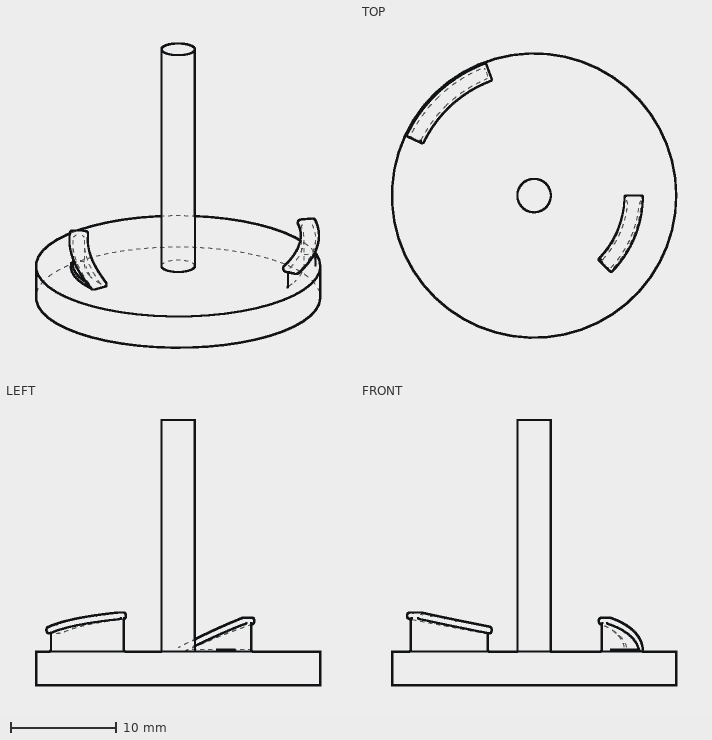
import cadquery as cq
import math

plate_diameter = 27.0
plate_thickness = 3.18
post_diameter = 3.18
post_height = 22.0

ramp_span = 45.0
cap_width = 1.75
cap_flat_width = 1.0
cap_thickness = 0.65
cap_end_fillet = 0.15
wall_width = 1.1
wall_corner_radius = 0.3
wall_low_setback = 0.25
foot_fillet = 0.2

section_count = 7

trim_overrun = 5.0
trim_margin = 0.25
trim_height = 6.0

outer_ramp = dict(radius=12.5, low_height=2.36, high_height=3.75, steepest_lead=15.0)
inner_ramp = dict(radius=9.45, low_height=0.4, high_height=3.28, steepest_lead=15.0)
outer_ramp_low_angle = 110.0


def polar(radius, angle):
    """Point at a radius and an angle in degrees about the post axis."""
    a = math.radians(angle)
    return (radius * math.cos(a), radius * math.sin(a))


def cap_middle_height(ramp, angle):
    """Height of the cap's mid-thickness at an angle past the low end of the ramp."""
    lead = ramp["steepest_lead"]
    low_sine = math.sin(math.radians(lead))
    high_sine = math.sin(math.radians(lead + ramp_span))
    fraction = (math.sin(math.radians(lead + angle)) - low_sine) / (high_sine - low_sine)
    top = ramp["low_height"] + (ramp["high_height"] - ramp["low_height"]) * fraction
    return plate_thickness + top - cap_thickness / 2


def section_plane(ramp, angle):
    """Upright radial workplane on the cap's centreline: local x points outward, local y upward."""
    x, y = polar(ramp["radius"], angle)
    outward = cq.Vector(x, y, 0)
    origin = (x, y, cap_middle_height(ramp, angle))
    return cq.Workplane(cq.Plane(origin=origin, xDir=outward, normal=outward.cross(cq.Vector(0, 0, 1))))


def loft_along(ramp, draw_section, overrun=0.0):
    """Smooth loft through equally spaced upright sections, reaching past both ends by overrun degrees."""
    step = (ramp_span + 2 * overrun) / (section_count - 1)
    sections = [
        draw_section(section_plane(ramp, index * step - overrun)).val() for index in range(section_count)
    ]
    return cq.Workplane(obj=cq.Solid.makeLoft(sections))


def cap_section(plane):
    """Flat top and bottom joined by bulging sides."""
    half_flat = cap_flat_width / 2
    half_width = cap_width / 2
    half_thickness = cap_thickness / 2
    return (
        plane.moveTo(-half_flat, -half_thickness)
        .lineTo(half_flat, -half_thickness)
        .threePointArc((half_width, 0), (half_flat, half_thickness))
        .lineTo(-half_flat, half_thickness)
        .threePointArc((-half_width, 0), (-half_flat, -half_thickness))
        .close()
    )


def trim_section(plane):
    """Tall rectangle standing on the middle of the cap."""
    return plane.center(0, trim_height / 2).rect(cap_width + 2 * trim_margin, trim_height)


def ramp_cap(ramp):
    """Cap with rounded ends."""
    return loft_along(ramp, cap_section).faces("%PLANE").edges().fillet(cap_end_fillet)


def wall_column(ramp):
    """Curved wall of constant height with rounded corners."""
    inner = ramp["radius"] - wall_width / 2
    outer = ramp["radius"] + wall_width / 2
    low = math.degrees(wall_low_setback / ramp["radius"])
    high = ramp_span
    middle = (low + high) / 2
    return (
        cq.Workplane("XY", origin=(0, 0, plate_thickness))
        .moveTo(*polar(inner, low))
        .threePointArc(polar(inner, middle), polar(inner, high))
        .lineTo(*polar(outer, high))
        .threePointArc(polar(outer, middle), polar(outer, low))
        .close()
        .extrude(ramp["high_height"])
        .edges("|Z")
        .fillet(wall_corner_radius)
    )


def ramp_wall(ramp, plate):
    """Wall with a filleted foot, cut off along the middle of its cap."""
    body = plate.union(wall_column(ramp))
    plate_top = body.faces(cq.selectors.NearestToPointSelector((0, 0, plate_thickness)))
    foot_edges = plate_top.val().innerWires()[0].Edges()
    wall = body.newObject(foot_edges).fillet(foot_fillet).cut(plate)
    return wall.cut(loft_along(ramp, trim_section, trim_overrun))


def curved_ramp(ramp, plate):
    """Complete ramp starting at angle 0 and climbing counterclockwise."""
    return ramp_wall(ramp, plate).union(ramp_cap(ramp))


plate = cq.Workplane("XY").circle(plate_diameter / 2).extrude(plate_thickness)
post = cq.Workplane("XY", origin=(0, 0, plate_thickness)).circle(post_diameter / 2).extrude(post_height)

outer = curved_ramp(outer_ramp, plate).rotate((0, 0, 0), (0, 0, 1), outer_ramp_low_angle)
inner = curved_ramp(inner_ramp, plate).mirror("XZ")

result = plate.union(post).union(outer).union(inner)